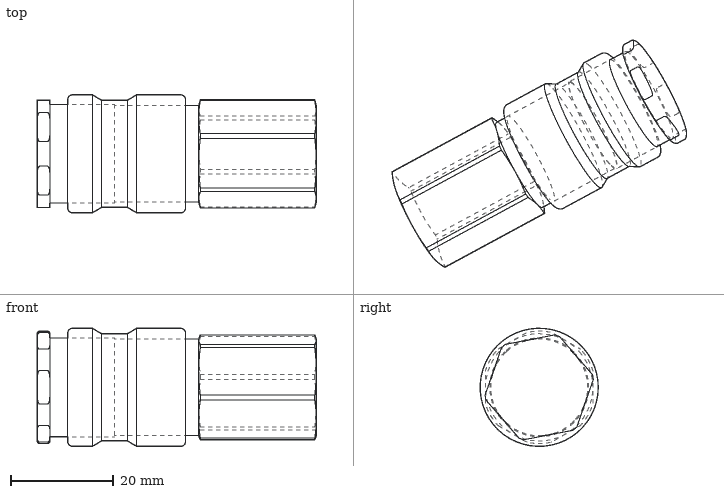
import cadquery as cq
import math

total_length = 54.6
x_front = -total_length / 2
x_back = total_length / 2

flange_length = 2.5
flange_across_flats = 21.0
flange_diameter = 22.0
flange_edge_radius = (flange_diameter - flange_across_flats) / 2

hex_length = 23.0
hex_across_flats = 19.0
hex_corner_diameter = 21.4
hex_turn = 19.1
hex_chamfer_angle = 15.0

front_neck_diameter = 19.35
rear_neck_diameter = 18.95

sleeve_start = x_front + 5.95
sleeve_length = 23.1
sleeve_end = sleeve_start + sleeve_length
sleeve_diameter = 23.15
sleeve_edge_radius = 1.0
waist_diameter = 21.0
waist_length = 5.05
waist_slope_length = 1.8
front_band_length = 4.85

waist_start = sleeve_start + front_band_length + waist_slope_length
waist_end = waist_start + waist_length
neck_step = (waist_start + waist_end) / 2


def rod(start, end, diameter):
    """Round bar along X from start to end."""
    return cq.Workplane("YZ", origin=(start, 0, 0)).circle(diameter / 2).extrude(end - start)


def hexagon_bar(start, length, across_flats, turn):
    """Hexagonal bar along X.

    With no turn, one flat faces -Y; a positive turn raises that flat toward +Z.
    """
    sharp_corner_diameter = across_flats / math.cos(math.pi / 6)
    half_side_angle = 30
    return (
        cq.Workplane("YZ", origin=(start, 0, 0))
        .polygon(6, sharp_corner_diameter)
        .extrude(length)
        .rotate((0, 0, 0), (1, 0, 0), half_side_angle - turn)
    )


def make_flange():
    """Front flange: hexagon with turned corners and rounded edges."""
    hexagon = hexagon_bar(x_front, flange_length, flange_across_flats, 0)
    disc = rod(x_front, x_front + flange_length, flange_diameter).edges("%CIRCLE").fillet(flange_edge_radius)
    return hexagon.intersect(disc)


def make_rear_hexagon():
    """Rear hexagon: turned corners, both ends chamfered down to the flats."""
    flat_radius = hex_across_flats / 2
    corner_radius = hex_corner_diameter / 2
    chamfer_length = (corner_radius - flat_radius) * math.tan(math.radians(hex_chamfer_angle))
    start = x_back - hex_length
    hexagon = hexagon_bar(start, hex_length, hex_across_flats, hex_turn)
    envelope = (
        cq.Workplane("XY")
        .moveTo(start, 0)
        .lineTo(start, flat_radius)
        .lineTo(start + chamfer_length, corner_radius)
        .lineTo(x_back - chamfer_length, corner_radius)
        .lineTo(x_back, flat_radius)
        .lineTo(x_back, 0)
        .close()
        .revolve(360, (0, 0, 0), (1, 0, 0))
    )
    return hexagon.intersect(envelope)


def make_core(neck_start, neck_end):
    """Stepped core between two positions; it also serves as the sleeve bore."""
    front_neck = rod(neck_start, neck_step, front_neck_diameter)
    rear_neck = rod(neck_step, neck_end, rear_neck_diameter)
    return front_neck.union(rear_neck)


def make_body():
    """Coupling body: front flange, stepped core and rear hexagon."""
    core = make_core(x_front + flange_length, x_back - hex_length)
    return make_flange().union(core).union(make_rear_hexagon())


def make_sleeve():
    """Sliding sleeve: two bands with a narrower waist between them and rounded outer ends."""
    radius = sleeve_diameter / 2
    waist_radius = waist_diameter / 2
    shell = (
        cq.Workplane("XY")
        .moveTo(sleeve_start, 0)
        .lineTo(sleeve_start, radius)
        .lineTo(waist_start - waist_slope_length, radius)
        .lineTo(waist_start, waist_radius)
        .lineTo(waist_end, waist_radius)
        .lineTo(waist_end + waist_slope_length, radius)
        .lineTo(sleeve_end, radius)
        .lineTo(sleeve_end, 0)
        .close()
        .revolve(360, (0, 0, 0), (1, 0, 0))
    )
    shell = shell.faces("<X or >X").edges().fillet(sleeve_edge_radius)
    return shell.cut(make_core(sleeve_start, sleeve_end))


body = make_body()
sleeve = make_sleeve()
result = cq.Compound.makeCompound([body.val(), sleeve.val()])